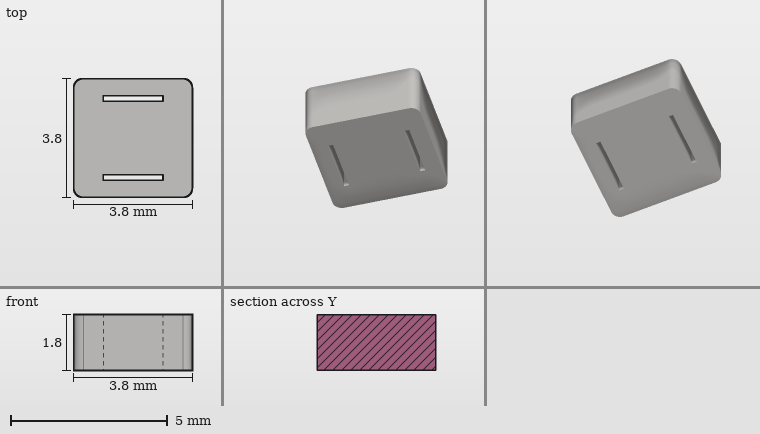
import cadquery as cq

side = 3.8
height = 1.8
corner_radius = 0.305

slot_length = 1.9
slot_width = 0.17
slot_offset = 1.26


def make_block():
    block = cq.Workplane("XY").rect(side, side).extrude(height)
    return block.edges("|Z").fillet(corner_radius)


def make_slots():
    slot_centers = [(0, -slot_offset), (0, slot_offset)]
    return cq.Workplane("XY").pushPoints(slot_centers).rect(slot_length, slot_width).extrude(height)


result = make_block().cut(make_slots())